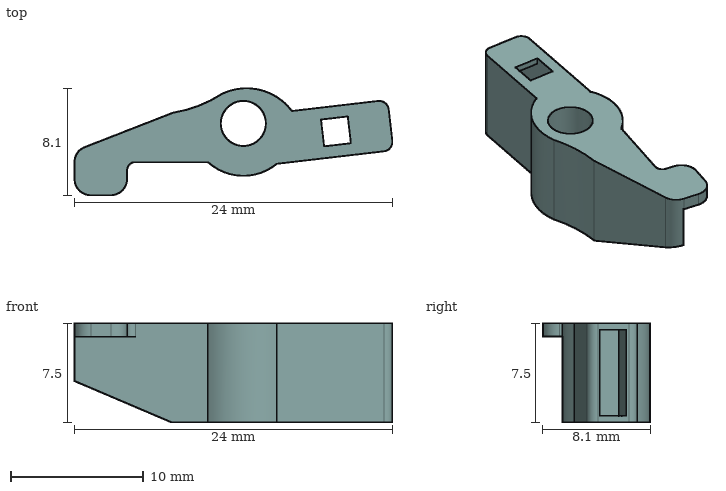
import cadquery as cq
import math

HEIGHT = 7.5
PIVOT_DIAMETER = 3.4

LOWER_HUB_RADIUS = 3.96
UPPER_HUB_RADIUS = 4.28
UPPER_HUB_X = 0.25
UPPER_HUB_TOP = 2.67
UPPER_HUB_Y = UPPER_HUB_TOP - UPPER_HUB_RADIUS

NOSE_TIP_X = -12.75
NOSE_FRONT_Y = -2.93
NOSE_TAPER_ANGLE = math.radians(21.3)
NOSE_SHOULDER = (-5.3, 0.82)
SHOULDER_BLEND_RADIUS = 9.6
BLEND_END_ANGLE = math.radians(115)
RAMP_LENGTH = 7.33
RAMP_HEIGHT = 3.12

HOOK_WIDTH = 4.0
HOOK_REACH = 2.5
HOOK_THICKNESS = 1.0
HOOK_INNER_RADIUS = 0.6
HOOK_CORNER_RADIUS = 1.25

ARM_ANGLE = 6.65
ARM_WIDTH = 3.85
ARM_CORNER_RADIUS = 0.75
WINDOW_CENTER = (7.0, -0.6)
WINDOW_SIZE = 2.02
WINDOW_TO_ARM_END = 4.15
SLOT_LIP_THICKNESS = 0.5


def upper_hub_point(angle):
    """Point on the upper hub arc at an angle from +X."""
    return (UPPER_HUB_X + UPPER_HUB_RADIUS * math.cos(angle),
            UPPER_HUB_Y + UPPER_HUB_RADIUS * math.sin(angle))


def lower_hub_point(angle):
    """Point on the lower hub arc at an angle from +X."""
    return (LOWER_HUB_RADIUS * math.cos(angle), LOWER_HUB_RADIUS * math.sin(angle))


def arm_edge_y(x, side):
    """Height of the upper (side = 1) or lower (side = -1) arm edge at x."""
    tilt = math.radians(ARM_ANGLE)
    axis_y = WINDOW_CENTER[1] + (x - WINDOW_CENTER[0]) * math.tan(tilt)
    return axis_y + side * ARM_WIDTH / 2 / math.cos(tilt)


def arm_corner(side):
    """Upper (side = 1) or lower (side = -1) sharp corner at the arm end."""
    tilt = math.radians(ARM_ANGLE)
    across = side * ARM_WIDTH / 2
    return (WINDOW_CENTER[0] + WINDOW_TO_ARM_END * math.cos(tilt) - across * math.sin(tilt),
            WINDOW_CENTER[1] + WINDOW_TO_ARM_END * math.sin(tilt) + across * math.cos(tilt))


def edge_meets_circle(center_x, center_y, radius, side):
    """Right-hand point where an arm edge crosses a circle."""
    slope = math.tan(math.radians(ARM_ANGLE))
    offset = arm_edge_y(center_x, side) - center_y
    a = 1 + slope ** 2
    b = slope * offset
    dx = (-b + math.sqrt(b ** 2 - a * (offset ** 2 - radius ** 2))) / a
    return (center_x + dx, arm_edge_y(center_x + dx, side))


def make_body():
    """Nose, hub and arm in one outline, with rounded ends and a ramp under the nose tip."""
    tip_back_y = NOSE_SHOULDER[1] - (NOSE_SHOULDER[0] - NOSE_TIP_X) * math.tan(NOSE_TAPER_ANGLE)
    tangent = tip_back_y - NOSE_FRONT_Y
    tip_radius = tangent / math.tan((math.pi / 2 - NOSE_TAPER_ANGLE) / 2)
    round_end = (NOSE_TIP_X + tangent * math.cos(NOSE_TAPER_ANGLE),
                 tip_back_y + tangent * math.sin(NOSE_TAPER_ANGLE))
    hub_front_x = -math.sqrt(LOWER_HUB_RADIUS ** 2 - NOSE_FRONT_Y ** 2)
    upper_end = edge_meets_circle(UPPER_HUB_X, UPPER_HUB_Y, UPPER_HUB_RADIUS, 1)
    lower_end = edge_meets_circle(0, 0, LOWER_HUB_RADIUS, -1)
    body = (
        cq.Workplane("XY")
        .moveTo(NOSE_TIP_X, NOSE_FRONT_Y)
        .lineTo(hub_front_x, NOSE_FRONT_Y)
        .threePointArc(lower_hub_point(-math.pi / 2), lower_end)
        .lineTo(*arm_corner(-1))
        .lineTo(*arm_corner(1))
        .lineTo(*upper_end)
        .threePointArc(upper_hub_point(math.pi / 2), upper_hub_point(BLEND_END_ANGLE))
        .radiusArc(NOSE_SHOULDER, SHOULDER_BLEND_RADIUS)
        .lineTo(*round_end)
        .radiusArc((NOSE_TIP_X, NOSE_FRONT_Y), -tip_radius)
        .close()
        .extrude(HEIGHT)
    )
    for corner in (arm_corner(-1), arm_corner(1)):
        corner_edge = cq.selectors.NearestToPointSelector((*corner, HEIGHT / 2))
        body = body.edges("|Z").edges(corner_edge).fillet(ARM_CORNER_RADIUS)
    ramp = (
        cq.Workplane("XZ")
        .polyline([(NOSE_TIP_X, 0), (NOSE_TIP_X + RAMP_LENGTH, 0), (NOSE_TIP_X, RAMP_HEIGHT)])
        .close()
        .extrude(HEIGHT, both=True)
    )
    return body.cut(ramp)


def make_hook():
    """Thin rounded tab in front of the nose, with a concave fillet in its inner corner."""
    hook_right_x = NOSE_TIP_X + HOOK_WIDTH
    hook_front_y = NOSE_FRONT_Y - HOOK_REACH
    tab = (
        cq.Workplane("XY", origin=(0, 0, HEIGHT - HOOK_THICKNESS))
        .moveTo(NOSE_TIP_X, NOSE_FRONT_Y)
        .lineTo(NOSE_TIP_X, hook_front_y)
        .lineTo(hook_right_x, hook_front_y)
        .lineTo(hook_right_x, NOSE_FRONT_Y - HOOK_INNER_RADIUS)
        .radiusArc((hook_right_x + HOOK_INNER_RADIUS, NOSE_FRONT_Y), HOOK_INNER_RADIUS)
        .close()
        .extrude(HOOK_THICKNESS)
    )
    front_corners = tab.faces("<Y").edges("|Z")
    return front_corners.fillet(HOOK_CORNER_RADIUS)


def arm_plane():
    """Base plane centred on the window, with its X direction along the arm."""
    tilt = (0, 0, ARM_ANGLE)
    return cq.Workplane("XY", origin=(*WINDOW_CENTER, 0)).transformed(rotate=tilt)


pivot_hole = cq.Workplane("XY").circle(PIVOT_DIAMETER / 2).extrude(HEIGHT)
window = arm_plane().rect(WINDOW_SIZE, WINDOW_SIZE).extrude(HEIGHT)

end_slot = (
    arm_plane()
    .workplane(offset=SLOT_LIP_THICKNESS)
    .center(WINDOW_TO_ARM_END / 2, 0)
    .rect(WINDOW_TO_ARM_END, WINDOW_SIZE)
    .extrude(HEIGHT - 2 * SLOT_LIP_THICKNESS)
)

result = make_body().union(make_hook()).cut(pivot_hole).cut(window).cut(end_slot)